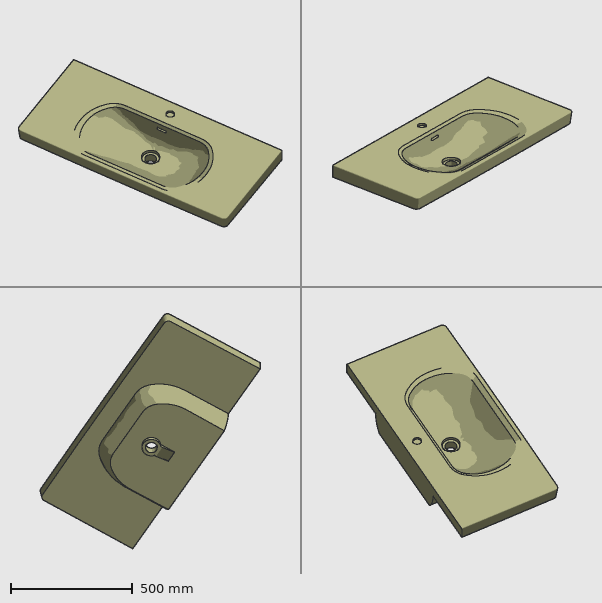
import cadquery as cq
import math

LENGTH = 1000
DEPTH = 459.0
HEIGHT = 164.0
DECK_THICKNESS = 56.0
FRONT_BOW = 3.0
FRONT_DRAFT = 6.0
SIDE_DRAFT = 3.0
CORNER_RADIUS = 20
TOP_BAND = 7.0
TOP_EDGE_RADIUS = 5.0

RIM_SECTION = (0, 301.0, -114.0, -278.0, -439.0, 178.0, 185.0)
LIP_SECTION = (-8.0, 279.0, -126.0, -266.0, -416.0, 175.0, 175.0)
WALL_SECTION = (-44.0, 238.0, -131.0, -246.0, -376.0, 150, 125.0)
FLOOR_SECTION = (-84.0, 169.0, -143.0, -225.0, -325.0, 90, 60)
SUMP_SECTION = (-115.0, 35.0, -185.0, -218.0, -251.0, 5.0, 5.0)

BODY_HALF_WIDTH = 251.0
BODY_FRONT = -376.0
BODY_BASE_HALF_WIDTH = 219.0
BODY_BASE_FRONT = -328.0
BODY_MID_HALF_WIDTH = 243.0
BODY_MID_FRONT = -364.0
BODY_BASE = -150
BODY_BASE_RISE = 4.0
BODY_MID = (BODY_BASE - DECK_THICKNESS) / 2
BODY_FRONT_FLAT = 0.5
BODY_SIDE_FLAT = 0.55

DRAIN_Y = -218.0
BOSS_RADIUS = 39.0
DRAIN_HOLE_RADIUS = 24.0
DRAIN_SEAT_RADIUS = BOSS_RADIUS
DRAIN_SEAT_TOP = -110
DRAIN_SEAT_DEPTH = 15.0
DRAIN_SEAT_TAPER = 12
FAIRING_START = -121.0
FAIRING_HALF_WIDTH = 25.0

TAP_Y = -60
TAP_RADIUS = 18.0
TAP_DEPTH = 10
OVERFLOW_LEVEL = -34.0
OVERFLOW_WIDTH = 44.0
OVERFLOW_HEIGHT = 10
OVERFLOW_END_Y = -110

DIAGONAL = math.sqrt(0.5)


def quarter_ellipse(outline, start, end, start_tangent, end_tangent):
    """Continue the outline from start to end along a quarter of an ellipse."""
    corner_x = start[0] if start_tangent[0] == 0 else end[0]
    corner_y = start[1] if start_tangent[1] == 0 else end[1]
    center = (start[0] + end[0] - corner_x, start[1] + end[1] - corner_y)
    middle = (
        center[0] + DIAGONAL * (corner_x - center[0]),
        center[1] + DIAGONAL * (corner_y - center[1]),
    )
    return outline.spline(
        [middle, end], tangents=[start_tangent, end_tangent], includeCurrent=True
    )


def basin_outline(section):
    """Rounded basin outline, straight at back and front, as a wire at its level."""
    level, half_width, back, widest, front, half_back, half_front = section
    right = (half_width, widest)
    left = (-half_width, widest)
    outline = cq.Workplane("XY", origin=(0, 0, level)).moveTo(-half_back, back).lineTo(half_back, back)
    outline = quarter_ellipse(outline, (half_back, back), right, (1, 0), (0, -1))
    outline = quarter_ellipse(outline, right, (half_front, front), (0, -1), (-1, 0))
    outline = outline.lineTo(-half_front, front)
    outline = quarter_ellipse(outline, (-half_front, front), left, (-1, 0), (0, 1))
    outline = quarter_ellipse(outline, left, (-half_back, back), (0, 1), (1, 0))
    return outline.close().val()


def body_outline(level, half_width, front):
    """Body outline with a straight back on Y = 0 and an elliptical front."""
    half_flat = half_width * BODY_FRONT_FLAT
    side_end = front * BODY_SIDE_FLAT
    right = (half_width, side_end)
    outline = cq.Workplane("XY", origin=(0, 0, level)).moveTo(-half_width, 0).lineTo(half_width, 0)
    outline = outline.lineTo(*right)
    outline = quarter_ellipse(outline, right, (half_flat, front), (0, -1), (-1, 0))
    outline = outline.lineTo(-half_flat, front)
    outline = quarter_ellipse(outline, (-half_flat, front), (-half_width, side_end), (-1, 0), (0, 1))
    return outline.close().val()


def deck_outline(level, front_half_width, front):
    """Deck outline with a bowed front edge and rounded front corners."""
    corner_y = front + FRONT_BOW
    outline = (
        cq.Workplane("XY", origin=(0, 0, level))
        .moveTo(-LENGTH / 2, 0)
        .lineTo(LENGTH / 2, 0)
        .lineTo(front_half_width, corner_y)
        .threePointArc((0, front), (-front_half_width, corner_y))
        .close()
        .val()
    )
    front_corners = [corner for corner in outline.Vertices() if corner.Y < -DEPTH / 2]
    return outline.fillet2D(CORNER_RADIUS, front_corners)


def loft(wires, ruled=False):
    return cq.Workplane(obj=cq.Solid.makeLoft(wires, ruled))


def make_deck():
    top = deck_outline(0, LENGTH / 2, -DEPTH)
    band_bottom = deck_outline(-TOP_BAND, LENGTH / 2, -DEPTH)
    underside = deck_outline(-DECK_THICKNESS, LENGTH / 2 - SIDE_DRAFT, -DEPTH + FRONT_DRAFT)
    deck = loft([underside, band_bottom, top], ruled=True)
    return deck.faces(">Z").edges("not(>Y)").fillet(TOP_EDGE_RADIUS)


def make_body():
    body = loft([
        body_outline(BODY_BASE, BODY_BASE_HALF_WIDTH, BODY_BASE_FRONT),
        body_outline(BODY_MID, BODY_MID_HALF_WIDTH, BODY_MID_FRONT),
        body_outline(-DECK_THICKNESS, BODY_HALF_WIDTH, BODY_FRONT),
    ])
    base_slope = (
        cq.Workplane("YZ")
        .polyline([(0, BODY_BASE), (BODY_FRONT, BODY_BASE + BODY_BASE_RISE), (BODY_FRONT, BODY_BASE)])
        .close()
        .extrude(BODY_HALF_WIDTH, both=True)
    )
    return body.cut(base_slope)


def make_drain_boss():
    boss_height = HEIGHT + DRAIN_SEAT_TOP - DRAIN_SEAT_DEPTH
    boss = cq.Workplane("XY", origin=(0, DRAIN_Y, -HEIGHT)).circle(BOSS_RADIUS).extrude(boss_height)
    fairing = (
        cq.Workplane("YZ")
        .polyline([
            (FAIRING_START, BODY_BASE),
            (DRAIN_Y + BOSS_RADIUS, -HEIGHT),
            (DRAIN_Y, -HEIGHT),
            (DRAIN_Y, BODY_BASE + BODY_BASE_RISE),
            (FAIRING_START, BODY_BASE + BODY_BASE_RISE),
        ])
        .close()
        .extrude(FAIRING_HALF_WIDTH, both=True)
    )
    return boss.union(fairing)


def make_basin():
    rim = loft([basin_outline(RIM_SECTION), basin_outline(LIP_SECTION)], ruled=True)
    bowl_sections = (LIP_SECTION, WALL_SECTION, FLOOR_SECTION, SUMP_SECTION)
    bowl = loft([basin_outline(section) for section in bowl_sections])
    return rim.union(bowl)


def make_drain_hole():
    hole = cq.Workplane("XY", origin=(0, DRAIN_Y, -HEIGHT)).circle(DRAIN_HOLE_RADIUS).extrude(HEIGHT)
    seat = (
        cq.Workplane("XY", origin=(0, DRAIN_Y, DRAIN_SEAT_TOP))
        .circle(DRAIN_SEAT_RADIUS)
        .extrude(-DRAIN_SEAT_DEPTH, taper=DRAIN_SEAT_TAPER)
    )
    return hole.union(seat)


def make_tap_hole():
    return cq.Workplane("XY", origin=(0, TAP_Y, -TAP_DEPTH)).circle(TAP_RADIUS).extrude(TAP_DEPTH)


def make_overflow():
    slot_length = OVERFLOW_END_Y - DRAIN_Y
    return (
        cq.Workplane("XZ", origin=(0, OVERFLOW_END_Y, OVERFLOW_LEVEL))
        .slot2D(OVERFLOW_WIDTH, OVERFLOW_HEIGHT)
        .extrude(slot_length)
    )


result = (
    make_deck()
    .union(make_body())
    .union(make_drain_boss())
    .cut(make_basin())
    .cut(make_drain_hole())
    .cut(make_tap_hole())
    .cut(make_overflow())
)